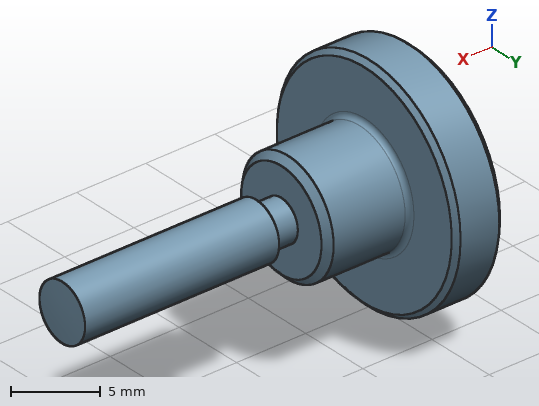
import cadquery as cq

total_length = 25.48

disc_radius = 8.0
disc_thickness = 3.5
disc_chamfer = 0.35

boss_radius = 4.0
boss_end = 9.5
boss_chamfer = 0.48
root_fillet = 0.35

neck_radius = 1.45
neck_length = 1.8
stem_radius = 2.0
tip_dome_height = 0.14

stem_start = boss_end + neck_length
stem_end = total_length - tip_dome_height
tip_sphere_radius = (stem_radius**2 + tip_dome_height**2) / (2 * tip_dome_height)

axis_start = (0, 0, 0)
axis_end = (1, 0, 0)
full_turn = 360


def make_disc():
    """Knob disc along +X from the origin, chamfered on both rims."""
    disc = cq.Workplane("YZ").circle(disc_radius).extrude(disc_thickness)
    return disc.edges().chamfer(disc_chamfer)


def make_boss():
    """Boss with a chamfered end, starting on the back face of the disc."""
    boss = cq.Workplane("YZ", origin=(disc_thickness, 0, 0))
    boss = boss.circle(boss_radius).extrude(boss_end - disc_thickness)
    return boss.faces(">X").edges().chamfer(boss_chamfer)


def make_root_fillet():
    """Short round collar with a concave quarter-round rim, easing the boss into the disc."""
    profile = (
        cq.Workplane("XY")
        .moveTo(disc_thickness, 0)
        .lineTo(disc_thickness, boss_radius + root_fillet)
        .radiusArc((disc_thickness + root_fillet, boss_radius), -root_fillet)
        .lineTo(disc_thickness + root_fillet, 0)
        .close()
    )
    return profile.revolve(full_turn, axis_start, axis_end)


def make_stem():
    """Undercut neck and cylindrical stem with a shallow spherical tip."""
    profile = (
        cq.Workplane("XY")
        .moveTo(boss_end, 0)
        .lineTo(boss_end, neck_radius)
        .lineTo(stem_start, neck_radius)
        .lineTo(stem_start, stem_radius)
        .lineTo(stem_end, stem_radius)
        .radiusArc((total_length, 0), tip_sphere_radius)
        .close()
    )
    return profile.revolve(full_turn, axis_start, axis_end)


result = make_disc().union(make_boss()).union(make_root_fillet()).union(make_stem())